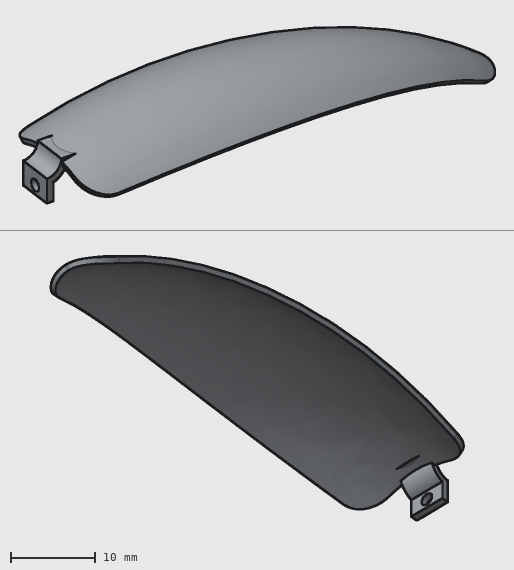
import cadquery as cq
import math


shell_thickness = 0.8
length = 64.9
front_y = 2.15
width = 20.7
widest_y = 23.35
side_radius = 139.5
front_corner_radius = 4.2
tip_radius = 5.2

crown_start = (0.0, -3.25)
crown_top = (24.3, 0.0)
crown_rear_points = [(38.3, -1.1), (50.9, -4.35)]
crown_end = (66.8, -13.35)
cross_radius = 17.25

sheet = 1.0
bracket_width = 4.9
leg_bottom_z = -8.0
bend_z = -2.45
bend_radius = 2.1
tab_end_y = 4.35
tab_thickness = 0.65
hole_z = -6.7
hole_diameter = 1.6


def side_x(y):
    """Half width of the leaf along its long curved sides."""
    return width / 2 - side_radius + math.sqrt(side_radius**2 - (y - widest_y) ** 2)


def make_leaf_prism():
    """Vertical prism with the plan shape of the leaf."""
    front_x = side_x(front_y)
    rear_x = side_x(length)
    prism = (
        cq.Workplane("XY")
        .workplane(offset=-cross_radius)
        .moveTo(-front_x, front_y)
        .lineTo(front_x, front_y)
        .threePointArc((width / 2, widest_y), (rear_x, length))
        .lineTo(-rear_x, length)
        .threePointArc((-width / 2, widest_y), (-front_x, front_y))
        .close()
        .extrude(2 * cross_radius)
    )
    prism = prism.edges("|Z and <Y").fillet(front_corner_radius)
    return prism.edges("|Z and >Y").fillet(tip_radius)


def make_shell():
    """Revolve the crown line about a lengthwise axis, trim it to the leaf, thicken it."""
    axis_z = crown_top[1] - cross_radius
    crown_points = [crown_start, crown_top, *crown_rear_points, crown_end]
    solid_body = (
        cq.Workplane("YZ")
        .spline(crown_points)
        .lineTo(crown_end[0], axis_z)
        .lineTo(crown_start[0], axis_z)
        .close()
        .revolve(360, (0, axis_z), (1, axis_z))
    )
    trimmed = solid_body.intersect(make_leaf_prism())
    skin = trimmed.faces(">Z").val()
    return cq.Workplane(skin.thicken(-shell_thickness))


def make_bracket():
    """Flat tab, quarter bend and upright leg with a through hole."""
    outer_radius = bend_radius + sheet
    strip = (
        cq.Workplane("YZ")
        .moveTo(bend_radius, bend_z)
        .lineTo(tab_end_y, bend_z)
        .lineTo(tab_end_y, bend_z - tab_thickness)
        .lineTo(math.sqrt(outer_radius**2 - tab_thickness**2), bend_z - tab_thickness)
        .radiusArc((sheet, bend_z - math.sqrt(outer_radius**2 - sheet**2)), outer_radius)
        .lineTo(sheet, leg_bottom_z)
        .lineTo(0, leg_bottom_z)
        .lineTo(0, bend_z - bend_radius)
        .radiusArc((bend_radius, bend_z), -bend_radius)
        .close()
        .extrude(bracket_width / 2, both=True)
    )
    hole = (
        cq.Workplane("XZ", origin=(0, 0, hole_z))
        .circle(hole_diameter / 2)
        .extrude(-sheet)
    )
    return strip.cut(hole)


result = make_shell().union(make_bracket())